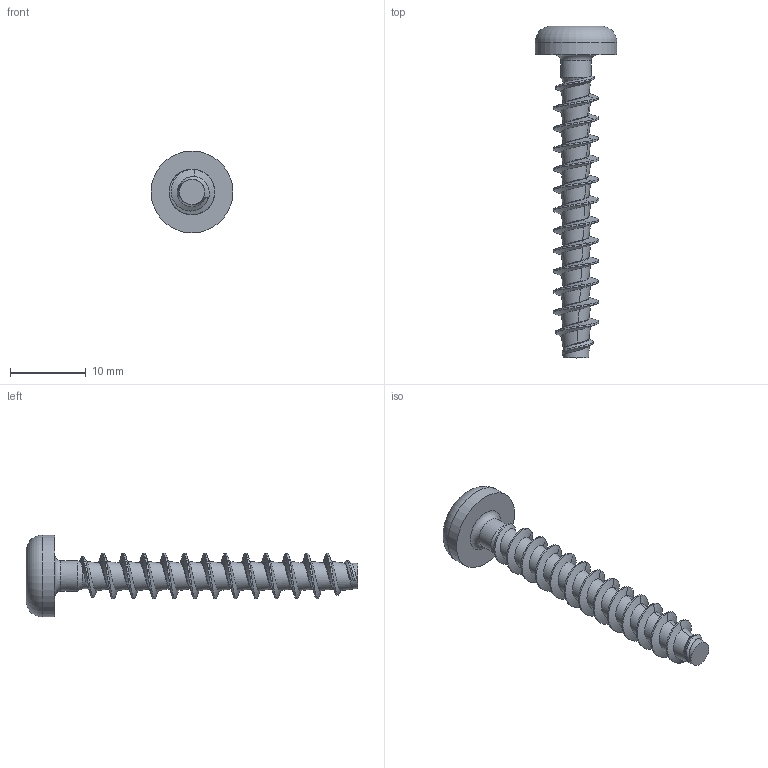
import cadquery as cq
import math


head_diameter = 10.8
head_height = 3.79
head_round = 2.15

shank_length = 40.0
neck_diameter = 4.05
neck_length = 3.0
neck_fillet = 0.8
neck_taper_length = 0.7
core_diameter = 3.35

pitch = 2.69
thread_radius = 3.0
crest_width = 0.2
base_width = 0.86

root_large_radius = 1.95
root_small_radius = 1.7
turn_gap = 0.12

root_tip_margin = 0.05

full_stretches = 11

thread_start_y = -neck_length
start_crest_radius = 2.4
full_start_y = -5.9
full_end_y = -35.9
thread_end_y = -39.45
end_crest_radius = 1.76

bury_depth = 0.3

head_radius = head_diameter / 2
neck_radius = neck_diameter / 2
core_radius = core_diameter / 2
buried_radius = core_radius - bury_depth
half_base = base_width / 2
half_crest = crest_width / 2
root_tip_offset = half_base - pitch + turn_gap
root_end_y = -shank_length + root_tip_margin - root_tip_offset


def revolved_body():
    """Head, filleted neck and plain core as one revolved outline."""
    return (
        cq.Workplane("XY")
        .moveTo(0, -shank_length)
        .lineTo(core_radius, -shank_length)
        .lineTo(core_radius, -neck_length - neck_taper_length)
        .lineTo(neck_radius, -neck_length)
        .lineTo(neck_radius, -neck_fillet)
        .radiusArc((neck_radius + neck_fillet, 0), neck_fillet)
        .lineTo(head_radius, 0)
        .lineTo(head_radius, head_height - head_round)
        .radiusArc((head_radius - head_round, head_height), -head_round)
        .lineTo(0, head_height)
        .close()
        .revolve(360, (0, 0, 0), (0, 1, 0))
    )


def crest_radius(y):
    """Crest radius of the thread at position y along the screw."""
    if y < full_end_y:
        fade = (full_end_y - y) / (full_end_y - thread_end_y)
        return thread_radius + fade * (end_crest_radius - thread_radius)
    if y > full_start_y:
        fade = (y - full_start_y) / (thread_start_y - full_start_y)
        return thread_radius + fade * (start_crest_radius - thread_radius)
    return thread_radius


def blade_profile(y):
    """(radius, axial offset) corners of the bare blade."""
    return [
        (buried_radius, -half_base),
        (root_small_radius, -half_base),
        (crest_radius(y), -half_crest),
        (crest_radius(y), half_crest),
        (root_small_radius, half_base),
        (buried_radius, half_base),
    ]


def rooted_profile(y):
    """(radius, axial offset) corners of the blade with the tapered root on its tip side."""
    return [
        (buried_radius, root_tip_offset),
        (root_small_radius, root_tip_offset),
        (root_large_radius, -half_base),
        (crest_radius(y), -half_crest),
        (crest_radius(y), half_crest),
        (root_small_radius, half_base),
        (buried_radius, half_base),
    ]


def helix_edge(start_radius, end_radius, offset, rise):
    """Helix about +Z from height `offset`, its radius changing evenly over `rise`."""
    center = cq.Vector(0, 0, offset)
    if start_radius == end_radius:
        wire = cq.Wire.makeHelix(pitch, rise, start_radius, center)
    else:
        slope = math.atan2(end_radius - start_radius, rise)
        stretch = 1 / math.cos(slope)
        wire = cq.Wire.makeHelix(
            pitch * stretch, rise * stretch, start_radius, center, angle=math.degrees(slope)
        )
    return wire.Edges()[0]


def helical_solid(profile, y_start, y_end):
    """Right-handed helical solid about the Y axis, with `profile` varying from y_start to y_end."""
    rise = y_end - y_start
    edges = [
        helix_edge(start_radius, end_radius, offset, rise)
        for (start_radius, offset), (end_radius, _) in zip(profile(y_start), profile(y_end))
    ]
    flanks = [
        cq.Face.makeRuledSurface(edge, following)
        for edge, following in zip(edges, edges[1:] + edges[:1])
    ]
    caps = [
        cq.Face.makeFromWires(
            cq.Wire.makePolygon([edge.positionAt(end) for edge in edges], close=True)
        )
        for end in (0, 1)
    ]
    solid = cq.Solid.makeSolid(cq.Shell.makeShell(flanks + caps)).fix()
    start_angle = 360 * (y_start - thread_start_y) / pitch
    return (
        cq.Workplane(solid)
        .rotate((0, 0, 0), (0, 0, 1), start_angle)
        .rotate((0, 0, 0), (1, 0, 0), -90)
        .translate((0, y_start, 0))
    )


def thread_sections():
    """Consecutive stretches of thread, from the tip to the neck."""
    stretch_length = (full_start_y - full_end_y) / full_stretches
    full_bounds = [full_end_y + step * stretch_length for step in range(full_stretches + 1)]
    rooted_bounds = [root_end_y] + full_bounds + [thread_start_y]
    sections = [helical_solid(blade_profile, thread_end_y, root_end_y)]
    for y_start, y_end in zip(rooted_bounds, rooted_bounds[1:]):
        sections.append(helical_solid(rooted_profile, y_start, y_end))
    return sections


screw = revolved_body()
for section in thread_sections():
    screw = screw.union(section)

result = cq.Workplane(screw.solids().val())